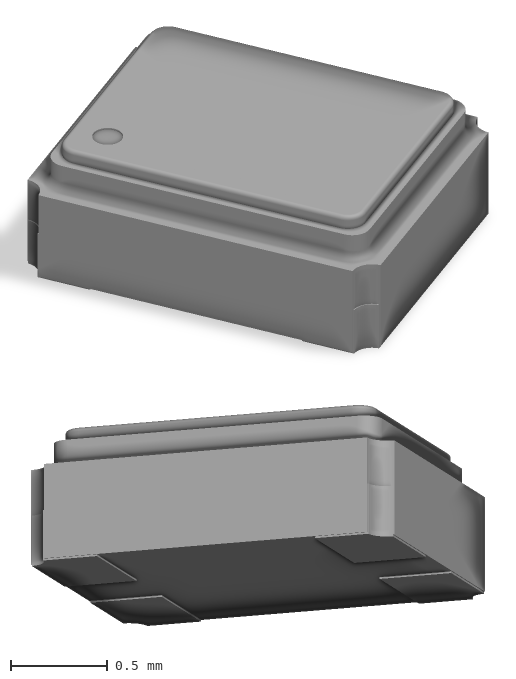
import cadquery as cq

length = 2.0
width = 1.6
height = 0.73
notch_radius = 0.11

pad_length = 0.4
pad_width = 0.605
pad_thickness = 0.01
lining_thickness = 0.005
metal_setback = 0.005
lining_top = 0.268

shoulder_height = 0.512
frame_inset = 0.1
frame_top = 0.655
frame_blend_radius = 0.04

lid_length = 1.708
lid_width = 1.308
lid_top_radius = 0.022
corner_radius = 0.1

mark_x = -0.652
mark_y = -0.45
mark_radius = 0.08
mark_depth = 0.01

corners = [(x * length / 2, y * width / 2) for x in (-1, 1) for y in (-1, 1)]


def block(size_x, size_y, bottom, top):
    """Centred rectangular block between two heights."""
    return cq.Workplane("XY").workplane(offset=bottom).rect(size_x, size_y).extrude(top - bottom)


def corner_cylinders(radius, bottom, top):
    """Upright cylinders centred on the four corners of the body."""
    return cq.Workplane("XY").workplane(offset=bottom).pushPoints(corners).circle(radius).extrude(top - bottom)


def make_body():
    """Body and rounded frame, with a concave blend where they meet."""
    body = block(length, width, pad_thickness, shoulder_height)
    frame = block(
        length - 2 * frame_inset, width - 2 * frame_inset, shoulder_height, frame_top
    ).edges("|Z").fillet(corner_radius)
    frame_foot = cq.selectors.BoxSelector(
        (-length / 2 + frame_inset / 2, -width / 2 + frame_inset / 2, shoulder_height - 0.002),
        (length / 2 - frame_inset / 2, width / 2 - frame_inset / 2, shoulder_height + 0.002),
    )
    return body.union(frame).edges(frame_foot).fillet(frame_blend_radius)


def make_lid():
    """Lid with rounded corners and top edge, and the orientation mark sunk into it."""
    lid = block(lid_length, lid_width, frame_top, height).edges("|Z").fillet(corner_radius)
    lid = lid.faces(">Z").edges().fillet(lid_top_radius)
    mark = cq.Workplane("XY").workplane(offset=height - mark_depth)
    mark = mark.center(mark_x, mark_y).circle(mark_radius).extrude(mark_depth)
    return lid.cut(mark)


def make_metal():
    """Pads under the body corners, joined to the linings that rise inside the notches."""
    metal_envelope = block(length - 2 * metal_setback, width - 2 * metal_setback, 0, lining_top)
    length_gap = block(length - 2 * pad_length, width, 0, pad_thickness)
    width_gap = block(length, width - 2 * pad_width, 0, pad_thickness)
    pads = block(length, width, 0, pad_thickness).cut(length_gap).cut(width_gap)
    linings = corner_cylinders(notch_radius, 0, lining_top)
    metal = pads.union(linings).intersect(metal_envelope)
    return metal.cut(corner_cylinders(notch_radius - lining_thickness, 0, lining_top))


body = make_body().cut(corner_cylinders(notch_radius, 0, shoulder_height))
result = body.union(make_lid()).union(make_metal())